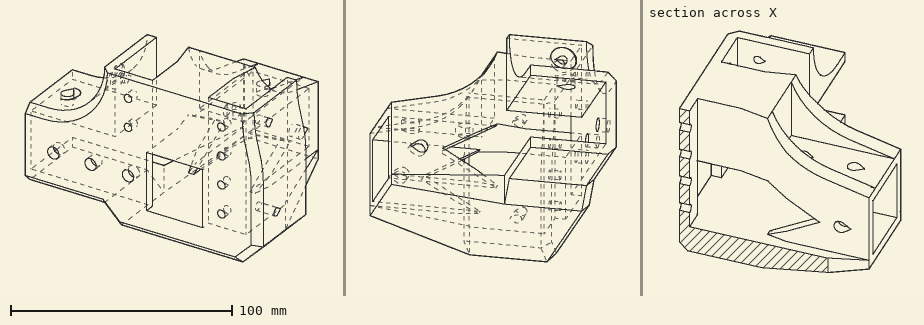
import cadquery as cq
import math

LENGTH = 125.0
BODY_DEPTH = 40.0
TOTAL_DEPTH = 90.0
HEIGHT = 79.0
WALL = 5.0
FRONT_CHAMFER = 4.0

TOP_LEFT_X = 40.0
SCOOP_RADIUS = 30.0
SCOOP_CENTRE_X = TOP_LEFT_X - SCOOP_RADIUS
BELLY_DROP = 9.0
CORNER_BEVEL = 11.0
TOP_RIGHT_X = 120.0
BULGE_HEIGHT = 36.0

CHANNEL = 30.0
CHANNEL_X_END = 115.0
WINDOW_X_MIN = 65.0

ARM_BOTTOM_Z = BELLY_DROP
FLOOR_Z = ARM_BOTTOM_Z + WALL
CHANNEL_TOP_Z = FLOOR_Z + CHANNEL
CHANNEL_MID_Z = FLOOR_Z + CHANNEL / 2
ARM_TOP_Z = CHANNEL_TOP_Z + WALL
WINDOW_X_MAX = WINDOW_X_MIN + CHANNEL
MID_X = WINDOW_X_MIN + CHANNEL / 2
BELLY_X_MIN = TOP_LEFT_X + BELLY_DROP
BELLY_X_MAX = LENGTH - CORNER_BEVEL

REAR_WIDTH = 40.0
FLARE_START_Y = 26.0
FLARE_END_Y = 50.0
REAR_SLOT_WIDTH = 24.0
CHEEK_RADIUS = 40.0
CHEEK_TILT = math.radians(13.2)
REAR_X_MIN = MID_X - REAR_WIDTH / 2
REAR_X_MAX = MID_X + REAR_WIDTH / 2

SMALL_HOLE = 4.0
LARGE_HOLE = 6.0
COUNTERBORE = 12.0
LARGE_HOLE_XS = (15.0, 35.0, 55.0)
SMALL_HOLE_X_LEFT = 55.0
SMALL_HOLE_X_RIGHT = 105.0
SMALL_HOLE_TOP_Z = HEIGHT - 10.0
SMALL_HOLE_PITCH = 15.0
LEFT_HOLE_COUNT = 2
RIGHT_HOLE_COUNT = 4
SIDE_HOLE_Y = 15.0
SIDE_HOLE_LOW_Z = SMALL_HOLE_TOP_Z - (RIGHT_HOLE_COUNT - 1) * SMALL_HOLE_PITCH
ARM_HOLE_X = SCOOP_CENTRE_X
ARM_HOLE_Y = 20.0
ROOF_HOLE_YS = (50.0, 75.0)
CHEEK_HOLE_Y = 76.0
PEAK_RATIO = math.sqrt(3)


def box(x_range, y_range, z_range):
    """Axis-aligned box given by its (min, max) limits."""
    sizes = [high - low for low, high in (x_range, y_range, z_range)]
    return cq.Workplane("XY").box(*sizes, centered=False).translate((x_range[0], y_range[0], z_range[0]))


def teardrop(plane, diameter, length):
    """Hole along the plane normal: a circle drawn out to a peak by two tangent lines."""
    radius = diameter / 2
    peak_height = PEAK_RATIO * radius
    tangent_height = radius / PEAK_RATIO
    tangent_half_width = math.sqrt(radius**2 - tangent_height**2)
    return (
        plane.moveTo(-tangent_half_width, tangent_height)
        .threePointArc((0, -radius), (tangent_half_width, tangent_height))
        .lineTo(0, peak_height)
        .close()
        .extrude(length)
    )


def teardrop_x(diameter, y, z, x_min, x_max):
    """Teardrop hole along X with its peak towards +Y."""
    plane = cq.Plane(origin=(x_min, y, z), xDir=(0, 0, -1), normal=(1, 0, 0))
    return teardrop(cq.Workplane(plane), diameter, x_max - x_min)


def teardrop_z(diameter, x, y, z_min, z_max):
    """Teardrop hole along Z with its peak towards +Y."""
    plane = cq.Workplane("XY", origin=(x, y, z_min))
    return teardrop(plane, diameter, z_max - z_min)


def make_shell():
    """Front body with the scooped arm, chamfered around its front face."""
    scoop_offset = SCOOP_RADIUS * math.sqrt(0.5)
    scoop_middle = (SCOOP_CENTRE_X + scoop_offset, HEIGHT - scoop_offset)
    bulge_middle = ((TOP_RIGHT_X + LENGTH) / 2, HEIGHT - BULGE_HEIGHT / 2)
    body = (
        cq.Workplane("XZ")
        .moveTo(0, ARM_BOTTOM_Z)
        .lineTo(TOP_LEFT_X, ARM_BOTTOM_Z)
        .lineTo(BELLY_X_MIN, 0)
        .lineTo(BELLY_X_MAX, 0)
        .lineTo(LENGTH, CORNER_BEVEL)
        .lineTo(LENGTH, HEIGHT - BULGE_HEIGHT)
        .tangentArcPoint(bulge_middle, relative=False)
        .tangentArcPoint((TOP_RIGHT_X, HEIGHT), relative=False)
        .lineTo(TOP_LEFT_X, HEIGHT)
        .threePointArc(scoop_middle, (SCOOP_CENTRE_X, ARM_TOP_Z))
        .lineTo(0, ARM_TOP_Z)
        .close()
        .extrude(-BODY_DEPTH)
    )
    left_edge = cq.selectors.NearestToPointSelector((0, 0, CHANNEL_MID_Z))
    top_edge = cq.selectors.NearestToPointSelector(((TOP_LEFT_X + TOP_RIGHT_X) / 2, 0, HEIGHT))
    sharp_edges = cq.selectors.SumSelector(left_edge, top_edge)
    front_edges = cq.StringSyntaxSelector("(#Y) and (<Y)")
    body = body.edges(cq.selectors.SubtractSelector(front_edges, sharp_edges)).chamfer(FRONT_CHAMFER)
    pocket = box((TOP_LEFT_X + WALL, CHANNEL_X_END), (WALL, BODY_DEPTH), (FLOOR_Z, HEIGHT))
    return body.cut(pocket)


def make_rear_floor():
    """Floor tapering in width and thickness towards the rear end."""
    front_width = BELLY_X_MAX - BELLY_X_MIN
    front_shift = (BELLY_X_MIN + BELLY_X_MAX) / 2 - MID_X
    return (
        cq.Workplane("XZ", origin=(MID_X, BODY_DEPTH, 0))
        .center(front_shift, FLOOR_Z / 2)
        .rect(front_width, FLOOR_Z)
        .workplane(offset=BODY_DEPTH - TOTAL_DEPTH)
        .center(-front_shift, ARM_BOTTOM_Z / 2)
        .rect(REAR_WIDTH, WALL)
        .loft(ruled=True)
    )


def make_central_block():
    """Flared block between the two pockets, running back as a roofed tube with curved cheeks."""
    plan = [
        (WINDOW_X_MIN, WALL),
        (WINDOW_X_MIN, FLARE_START_Y),
        (REAR_X_MIN, FLARE_END_Y),
        (REAR_X_MIN, TOTAL_DEPTH),
        (REAR_X_MAX, TOTAL_DEPTH),
        (REAR_X_MAX, FLARE_END_Y),
        (WINDOW_X_MAX, FLARE_START_Y),
        (WINDOW_X_MAX, WALL),
    ]
    block = cq.Workplane("XY", origin=(0, 0, FLOOR_Z)).polyline(plan).close().extrude(HEIGHT - FLOOR_Z)

    along = (math.cos(CHEEK_TILT), -math.sin(CHEEK_TILT))
    normal = (math.sin(CHEEK_TILT), math.cos(CHEEK_TILT))
    start_dy = BODY_DEPTH - TOTAL_DEPTH
    start_dz = HEIGHT - ARM_TOP_Z
    start_along = start_dy * along[0] + start_dz * along[1]
    start_above = start_dy * normal[0] + start_dz * normal[1]
    tangent_along = start_along + math.sqrt(CHEEK_RADIUS**2 - (CHEEK_RADIUS - start_above) ** 2)
    tangent_point = (TOTAL_DEPTH + tangent_along * along[0], ARM_TOP_Z + tangent_along * along[1])
    centre = (tangent_point[0] + CHEEK_RADIUS * normal[0], tangent_point[1] + CHEEK_RADIUS * normal[1])
    start_angle = math.atan2(HEIGHT - centre[1], BODY_DEPTH - centre[0])
    end_angle = math.atan2(-normal[1], -normal[0])
    mid_angle = (start_angle + end_angle) / 2
    arc_middle = (
        centre[0] + CHEEK_RADIUS * math.cos(mid_angle),
        centre[1] + CHEEK_RADIUS * math.sin(mid_angle),
    )
    above_cheeks = (
        cq.Workplane("YZ")
        .moveTo(BODY_DEPTH, HEIGHT)
        .threePointArc(arc_middle, tangent_point)
        .lineTo(TOTAL_DEPTH, ARM_TOP_Z)
        .lineTo(TOTAL_DEPTH, HEIGHT)
        .close()
        .extrude(LENGTH)
    )
    slot_x = (MID_X - REAR_SLOT_WIDTH / 2, MID_X + REAR_SLOT_WIDTH / 2)
    slot = box(slot_x, (BODY_DEPTH, TOTAL_DEPTH), (ARM_TOP_Z, HEIGHT))
    return block.cut(above_cheeks).cut(slot)


def cut_channels(part):
    """Peaked channel along the arm and square channel from the front plate to the rear."""
    channel_z = (FLOOR_Z, CHANNEL_TOP_Z)
    arm_channel = box((0, CHANNEL_X_END), (WALL, BODY_DEPTH), channel_z)
    peak_y = BODY_DEPTH + CHANNEL / 2 * math.sqrt(3)
    peak = (
        cq.Workplane("YZ")
        .polyline([(BODY_DEPTH, FLOOR_Z), (peak_y, CHANNEL_MID_Z), (BODY_DEPTH, CHANNEL_TOP_Z)])
        .close()
        .extrude(CHANNEL_X_END)
    )
    window = box((WINDOW_X_MIN, WINDOW_X_MAX), (0, TOTAL_DEPTH), channel_z)
    return part.cut(arm_channel).cut(peak).cut(window)


def cut_front_holes(part):
    """Round holes through the front plate."""
    small_points = []
    for x, count in ((SMALL_HOLE_X_LEFT, LEFT_HOLE_COUNT), (SMALL_HOLE_X_RIGHT, RIGHT_HOLE_COUNT)):
        for row in range(count):
            small_points.append((x, SMALL_HOLE_TOP_Z - row * SMALL_HOLE_PITCH))
    large_points = [(x, CHANNEL_MID_Z) for x in LARGE_HOLE_XS]
    for diameter, points in ((SMALL_HOLE, small_points), (LARGE_HOLE, large_points)):
        part = part.cut(cq.Workplane("XZ").pushPoints(points).circle(diameter / 2).extrude(-WALL))
    return part


def cut_teardrop_holes(part):
    """Peaked holes in the side walls, arm, roof and cheeks, with two counterbores in the scoop."""
    scoop_wall_hole = teardrop_x(SMALL_HOLE, SIDE_HOLE_Y, SMALL_HOLE_TOP_Z, TOP_LEFT_X, TOP_LEFT_X + WALL)
    part = part.cut(scoop_wall_hole)
    for z in (SIDE_HOLE_LOW_Z, SMALL_HOLE_TOP_Z):
        part = part.cut(teardrop_x(SMALL_HOLE, SIDE_HOLE_Y, z, CHANNEL_X_END, LENGTH))
    part = part.cut(teardrop_x(LARGE_HOLE, CHEEK_HOLE_Y, CHANNEL_MID_Z, REAR_X_MIN, REAR_X_MAX))

    part = part.cut(teardrop_z(LARGE_HOLE, ARM_HOLE_X, ARM_HOLE_Y, CHANNEL_TOP_Z, ARM_TOP_Z))
    for y in ROOF_HOLE_YS:
        part = part.cut(teardrop_z(LARGE_HOLE, MID_X, y, CHANNEL_TOP_Z, ARM_TOP_Z))

    side_seat = cq.Workplane("YZ", origin=(SCOOP_CENTRE_X, SIDE_HOLE_Y, SMALL_HOLE_TOP_Z))
    arm_seat = cq.Workplane("XY", origin=(ARM_HOLE_X, ARM_HOLE_Y, ARM_TOP_Z))
    for seat in (side_seat, arm_seat):
        part = part.cut(seat.circle(COUNTERBORE / 2).extrude(SCOOP_RADIUS))
    return part


result = make_shell().union(make_rear_floor()).union(make_central_block())
result = cut_channels(result)
result = cut_front_holes(result)
result = cut_teardrop_holes(result)